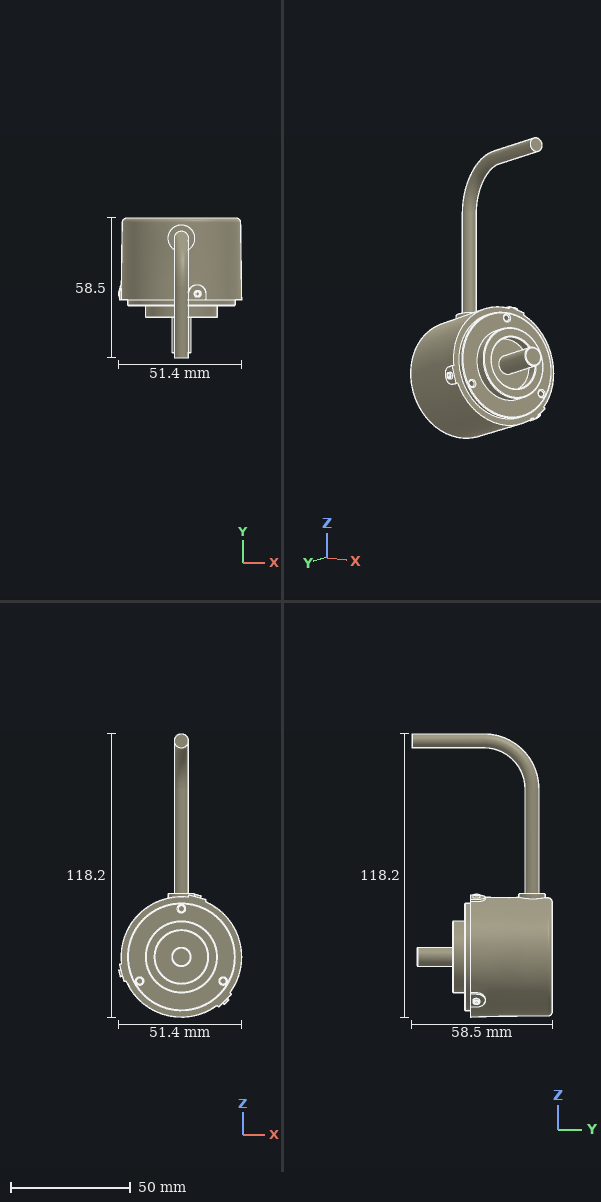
import cadquery as cq
import math

TOTAL_HEIGHT = 118.2
TOTAL_DEPTH = 58.5

HOUSING_LENGTH = 34.2
FRONT_RADIUS = 25.2
BACK_RADIUS = 24.7
BACK_ROUNDING = 2.0

PLATE_RADIUS = 22.5
PLATE_FRONT = -2.5
PILOT_RADIUS = 15.0
PILOT_FRONT = -7.5
EDGE_CHAMFER = 0.4
RECESS_RADIUS = 11.0
RECESS_DEPTH = 5.0
SHAFT_RADIUS = 4.0
SHAFT_FRONT = -22.2
JOINT_OVERLAP = 1.2

HOLE_COUNT = 3
HOLE_CIRCLE_RADIUS = 20.1
HOLE_FIRST_ANGLE = 90
HOLE_RADIUS = 1.3
HOLE_MOUTH_RADIUS = 1.8
HOLE_DEPTH = 5.9

PAD_COUNT = 3
PAD_FIRST_ANGLE = 75
PAD_RADIUS = 3.8
PAD_CENTER_Y = 2.5
PAD_FACE_DISTANCE = 25.8
PAD_ROOT_DISTANCE = 22.5
SCREW_RADIUS = 1.4
SCREW_FACE_DISTANCE = 26.7
SOCKET_RADIUS = 1.0
SOCKET_DEPTH = 1.2

CABLE_RADIUS = 3.0
CABLE_Y = 25.6
CABLE_BEND_RADIUS = 20.0
CABLE_ROOT_Z = 22.5
GROMMET_RADIUS = 5.5
GROMMET_TOP_Z = 26.5
GROMMET_ROUNDING = 0.6


def disc(radius, front_y, back_y):
    """Cylinder on the shaft axis between two Y positions."""
    return cq.Workplane("XZ", origin=(0, back_y, 0)).circle(radius).extrude(back_y - front_y)


def cone(front_radius, back_radius, front_y):
    """45 degree frustum on the shaft axis, narrowing towards +Y."""
    height = front_radius - back_radius
    direction = cq.Vector(0, 1, 0)
    return cq.Workplane(
        cq.Solid.makeCone(front_radius, back_radius, height, cq.Vector(0, front_y, 0), direction)
    )


def make_housing():
    profile = [
        (0, 0),
        (FRONT_RADIUS, 0),
        (BACK_RADIUS, HOUSING_LENGTH),
        (0, HOUSING_LENGTH),
    ]
    housing = cq.Workplane("XY").polyline(profile).close().revolve(360, (0, 0, 0), (0, 1, 0))
    return housing.faces(">Y").edges().fillet(BACK_ROUNDING)


def make_front_end():
    plate = disc(PLATE_RADIUS, PLATE_FRONT, JOINT_OVERLAP).faces("<Y").chamfer(EDGE_CHAMFER)
    pilot = disc(PILOT_RADIUS, PILOT_FRONT, 0).faces("<Y").chamfer(EDGE_CHAMFER)
    recess = disc(RECESS_RADIUS, PILOT_FRONT, PILOT_FRONT + RECESS_DEPTH)
    recess_mouth = cone(RECESS_RADIUS + EDGE_CHAMFER, RECESS_RADIUS, PILOT_FRONT)
    front_end = plate.union(pilot).cut(recess).cut(recess_mouth)
    shaft = disc(SHAFT_RADIUS, SHAFT_FRONT, 0).faces("<Y").chamfer(EDGE_CHAMFER)
    return front_end.union(shaft)


def make_mounting_hole(angle):
    """Cutter for a blind hole with a 45 degree countersunk mouth."""
    hole = disc(HOLE_RADIUS, PLATE_FRONT, PLATE_FRONT + HOLE_DEPTH)
    mouth = cone(HOLE_MOUTH_RADIUS, HOLE_RADIUS, PLATE_FRONT)
    x = HOLE_CIRCLE_RADIUS * math.cos(math.radians(angle))
    z = HOLE_CIRCLE_RADIUS * math.sin(math.radians(angle))
    return hole.union(mouth).translate((x, 0, z))


def make_pad(angle):
    """Clamp pad facing outward at an angle measured from +X towards +Z."""
    height = PAD_FACE_DISTANCE - PAD_ROOT_DISTANCE
    root = cq.Workplane("XY", origin=(0, 0, PAD_ROOT_DISTANCE))
    pad = (
        root.moveTo(-PAD_RADIUS, 0)
        .lineTo(-PAD_RADIUS, PAD_CENTER_Y)
        .threePointArc((0, PAD_CENTER_Y + PAD_RADIUS), (PAD_RADIUS, PAD_CENTER_Y))
        .lineTo(PAD_RADIUS, 0)
        .close()
        .extrude(height)
    )
    screw_height = SCREW_FACE_DISTANCE - PAD_ROOT_DISTANCE
    screw = root.center(0, PAD_CENTER_Y).circle(SCREW_RADIUS).extrude(screw_height)
    socket = (
        cq.Workplane("XY", origin=(0, PAD_CENTER_Y, SCREW_FACE_DISTANCE))
        .circle(SOCKET_RADIUS)
        .extrude(-SOCKET_DEPTH)
    )
    return pad.union(screw).cut(socket).rotate((0, 0, 0), (0, 1, 0), 90 - angle)


def make_cable():
    axis_top_z = TOTAL_HEIGHT - FRONT_RADIUS - CABLE_RADIUS
    bend_start_z = axis_top_z - CABLE_BEND_RADIUS
    bend_end_y = CABLE_Y - CABLE_BEND_RADIUS
    cable_end_y = HOUSING_LENGTH - TOTAL_DEPTH
    path = (
        cq.Workplane("YZ")
        .moveTo(CABLE_Y, CABLE_ROOT_Z)
        .lineTo(CABLE_Y, bend_start_z)
        .tangentArcPoint((bend_end_y, axis_top_z), relative=False)
        .lineTo(cable_end_y, axis_top_z)
    )
    section = cq.Workplane("XY", origin=(0, CABLE_Y, CABLE_ROOT_Z)).circle(CABLE_RADIUS)
    return section.sweep(path)


def make_grommet():
    root = cq.Workplane("XY", origin=(0, CABLE_Y, CABLE_ROOT_Z))
    grommet = root.circle(GROMMET_RADIUS).extrude(GROMMET_TOP_Z - CABLE_ROOT_Z)
    return grommet.faces(">Z").edges().fillet(GROMMET_ROUNDING)


body = make_housing().union(make_front_end())
for pad_index in range(PAD_COUNT):
    body = body.union(make_pad(PAD_FIRST_ANGLE + pad_index * 360 / PAD_COUNT))
for hole_index in range(HOLE_COUNT):
    body = body.cut(make_mounting_hole(HOLE_FIRST_ANGLE + hole_index * 360 / HOLE_COUNT))
result = body.union(make_grommet()).union(make_cable())